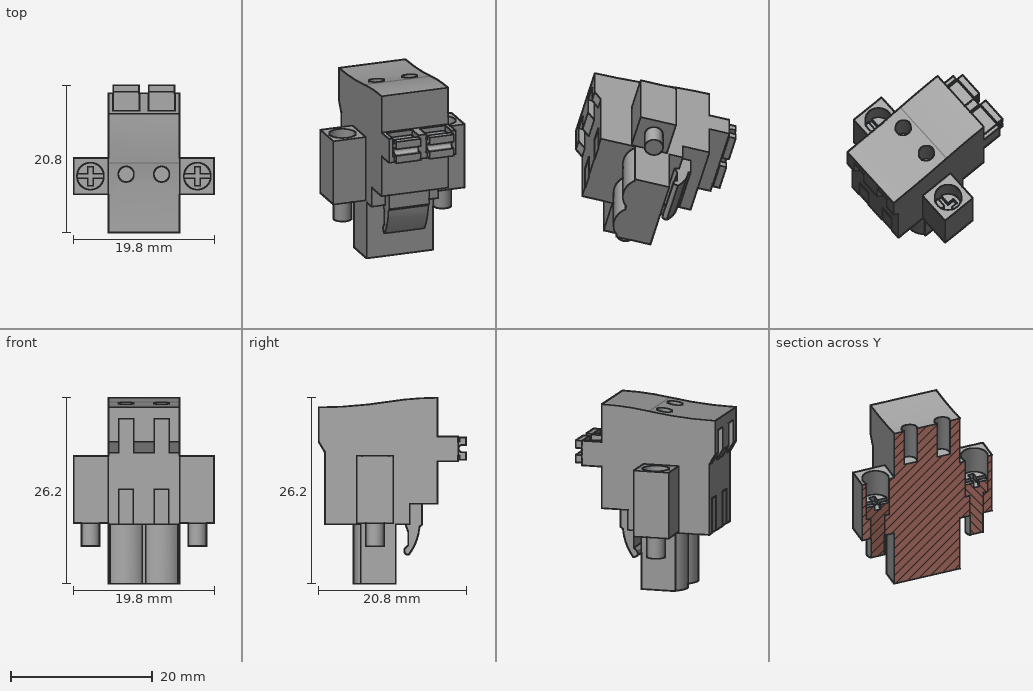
import cadquery as cq
import math


POLE_PITCH = 5.0
POLES = (-POLE_PITCH / 2, POLE_PITCH / 2)
SIDES = (-1, 1)
OVERALL_WIDTH = 19.8
OVERALL_HEIGHT = 26.24

WIDTH_ALLOWANCE = 0.04
BODY_WIDTH = len(POLES) * POLE_PITCH + WIDTH_ALLOWANCE
BROW_Y = -7.95
FRONT_Y = -7.05
BACK_Y = 8.8
LEDGE_Y = 11.7
STEP_Y = 4.9
INFLECTION_Y = 1.88
BODY_BOTTOM_Z = 8.4
STEP_Z = 11.27
LEDGE_BOTTOM_Z = 17.25
LEDGE_TOP_Z = 20.8
BROW_TOP_Z = 24.89
BROW_BOTTOM_Z = 20.02
BROW_CHAMFER_Z = 18.5

TEST_HOLE_DIAMETER = 2.2
TEST_HOLE_DEPTH = 5.0
TEST_HOLE_Y = 0.27
UPPER_SLOT_WIDTH = 2.1
UPPER_SLOT_TOP_Z = 23.28
LOWER_SLOT_WIDTH = 2.02
LOWER_SLOT_TOP_Z = 13.36
LOWER_SLOT_DEPTH = 0.08

PLUG_BACK_Y = 2.93
PLUG_FRONT_Y = -2.04
BARREL_WIDTH = 4.53
BARREL_BULGE = 1.01

LATCH_WIDTH = 6.0
LATCH_BACK_Y = 6.63
LATCH_BACK_BOTTOM_Z = 8.36
LATCH_SPINE_TOP = (6.28, 8.06)
LATCH_SPINE_MIDDLE = (5.69, 5.7)
LATCH_TIP = (4.76, 4.1)
LATCH_NOSE_MIDDLE = (4.2, 4.35)
LATCH_NOSE_TOP = (4.2, 5.0)
LATCH_THROAT_Y = 4.65
LATCH_THROAT_BOTTOM_Z = 5.45
LATCH_THROAT_TOP_Z = 7.35
LATCH_ROOT_Y = 4.27

FLANGE_DEPTH = 5.16
FLANGE_BOTTOM_Z = 8.58
FLANGE_TOP_Z = 18.05
SCREW_X = 7.53
SHAFT_DIAMETER = 2.58
SHAFT_BOTTOM_Z = 5.32
HEAD_DIAMETER = 3.8
HEAD_HEIGHT = 2.0
HEAD_RECESS = 4.0
DRIVE_DEPTH = 0.8
LONG_SLOT_WIDTH = 0.65
CROSS_SLOT_WIDTH = 0.8
CROSS_SLOT_LENGTH = 2.64
HEAD_TOP_Z = FLANGE_TOP_Z - HEAD_RECESS
HEAD_BOTTOM_Z = HEAD_TOP_Z - HEAD_HEIGHT

LEVER_WIDTH = 3.66
LEVER_SIDE_GAP = 0.09
LEVER_FRONT_Y = 9.24
LEVER_TAB_Y = 11.87
LEVER_BACK_Y = 12.84
LEVER_MID_Z = 19.07
LEVER_THICKNESS = 1.98
LEVER_TAB_HEIGHT = 3.18
LEVER_NOTCH_HEIGHT = 1.0
LEVER_NOTCH_Y = 11.77
LEVER_BOTTOM_Z = LEVER_MID_Z - LEVER_THICKNESS / 2


def block(x_mid, width, y_range, z_range):
    """Box centred on x_mid that fills the given Y and Z ranges."""
    depth = y_range[1] - y_range[0]
    height = z_range[1] - z_range[0]
    corner = (x_mid - width / 2, y_range[0], z_range[0])
    return cq.Workplane("XY").box(width, depth, height, centered=False).translate(corner)


def cylinder(x, y, diameter, z_bottom, z_top):
    """Upright cylinder between two heights."""
    base = cq.Workplane("XY", origin=(x, y, z_bottom))
    return base.circle(diameter / 2).extrude(z_top - z_bottom)


def side_sketch(width):
    """YZ workplane placed so that extruding by width is centred on X = 0."""
    return cq.Workplane("YZ", origin=(-width / 2, 0, 0))


def level_arc_sagitta(run, fall):
    """Bow height of an arc that is level at one end and falls over the run."""
    slope = math.atan2(fall, run)
    return math.hypot(run, fall) / 2 * math.tan(slope / 2)


def body():
    """Main block; its top is an S-curve of two arcs, level at both ends."""
    fall = OVERALL_HEIGHT - BROW_TOP_Z
    back_share = (BACK_Y - INFLECTION_Y) / (BACK_Y - BROW_Y)
    inflection_z = OVERALL_HEIGHT - fall * back_share
    back_bow = level_arc_sagitta(BACK_Y - INFLECTION_Y, OVERALL_HEIGHT - inflection_z)
    front_bow = level_arc_sagitta(INFLECTION_Y - BROW_Y, inflection_z - BROW_TOP_Z)
    outline = (
        side_sketch(BODY_WIDTH)
        .moveTo(BACK_Y, OVERALL_HEIGHT)
        .sagittaArc((INFLECTION_Y, inflection_z), -back_bow)
        .sagittaArc((BROW_Y, BROW_TOP_Z), front_bow)
        .lineTo(BROW_Y, BROW_BOTTOM_Z)
        .lineTo(FRONT_Y, BROW_CHAMFER_Z)
        .lineTo(FRONT_Y, BODY_BOTTOM_Z)
        .lineTo(STEP_Y, BODY_BOTTOM_Z)
        .lineTo(STEP_Y, STEP_Z)
        .lineTo(BACK_Y, STEP_Z)
        .lineTo(BACK_Y, LEDGE_BOTTOM_Z)
        .lineTo(LEDGE_Y, LEDGE_BOTTOM_Z)
        .lineTo(LEDGE_Y, LEDGE_TOP_Z)
        .lineTo(BACK_Y, LEDGE_TOP_Z)
        .close()
    )
    return outline.extrude(BODY_WIDTH)


def plug():
    """Plug block with one rounded barrel face per pole."""
    solid = block(0, BODY_WIDTH, (PLUG_FRONT_Y, PLUG_BACK_Y), (0, BODY_BOTTOM_Z))
    for x in POLES:
        barrel = (
            cq.Workplane("XY")
            .moveTo(x - BARREL_WIDTH / 2, PLUG_FRONT_Y)
            .threePointArc((x, PLUG_FRONT_Y - BARREL_BULGE), (x + BARREL_WIDTH / 2, PLUG_FRONT_Y))
            .close()
            .extrude(BODY_BOTTOM_Z)
        )
        solid = solid.union(barrel)
    return solid


def latch():
    """Curved hook that hangs in the step and reaches below the body."""
    outline = (
        side_sketch(LATCH_WIDTH)
        .moveTo(STEP_Y, STEP_Z)
        .lineTo(LATCH_BACK_Y, STEP_Z)
        .lineTo(LATCH_BACK_Y, LATCH_BACK_BOTTOM_Z)
        .lineTo(*LATCH_SPINE_TOP)
        .threePointArc(LATCH_SPINE_MIDDLE, LATCH_TIP)
        .threePointArc(LATCH_NOSE_MIDDLE, LATCH_NOSE_TOP)
        .lineTo(LATCH_THROAT_Y, LATCH_THROAT_BOTTOM_Z)
        .lineTo(LATCH_THROAT_Y, LATCH_THROAT_TOP_Z)
        .lineTo(LATCH_ROOT_Y, BODY_BOTTOM_Z)
        .lineTo(STEP_Y, BODY_BOTTOM_Z)
        .close()
    )
    return outline.extrude(LATCH_WIDTH)


def flange(side):
    """Side block with a stepped bore that fits the screw."""
    width = (OVERALL_WIDTH - BODY_WIDTH) / 2
    x_mid = side * (BODY_WIDTH + width) / 2
    half = FLANGE_DEPTH / 2
    solid = block(x_mid, width, (-half, half), (FLANGE_BOTTOM_Z, FLANGE_TOP_Z))
    head_bore = cylinder(side * SCREW_X, 0, HEAD_DIAMETER, HEAD_BOTTOM_Z, FLANGE_TOP_Z)
    shaft_bore = cylinder(side * SCREW_X, 0, SHAFT_DIAMETER, FLANGE_BOTTOM_Z, HEAD_BOTTOM_Z)
    return solid.cut(head_bore).cut(shaft_bore)


def pole_openings(x):
    """Test hole, two front slots and lever pocket of one pole."""
    hole_bottom = BROW_TOP_Z - TEST_HOLE_DEPTH
    hole = cylinder(x, TEST_HOLE_Y, TEST_HOLE_DIAMETER, hole_bottom, OVERALL_HEIGHT)
    upper_slot = block(x, UPPER_SLOT_WIDTH, (BROW_Y, FRONT_Y), (BROW_CHAMFER_Z, UPPER_SLOT_TOP_Z))
    lower_slot = block(
        x, LOWER_SLOT_WIDTH, (FRONT_Y, FRONT_Y + LOWER_SLOT_DEPTH), (BODY_BOTTOM_Z, LOWER_SLOT_TOP_Z)
    )
    pocket_width = LEVER_WIDTH + 2 * LEVER_SIDE_GAP
    pocket = block(x, pocket_width, (LEVER_FRONT_Y, LEDGE_Y), (LEVER_BOTTOM_Z, LEDGE_TOP_Z))
    return hole.union(upper_slot).union(lower_slot).union(pocket)


def make_housing():
    solid = body().union(plug()).union(latch())
    for side in SIDES:
        solid = solid.union(flange(side))
    for x in POLES:
        solid = solid.cut(pole_openings(x))
    return solid


def make_lever(x):
    """Flat tongue in the pocket with a thick, notched tab at the back."""
    tongue = block(
        x, LEVER_WIDTH, (LEVER_FRONT_Y, LEVER_TAB_Y), (LEVER_BOTTOM_Z, LEVER_BOTTOM_Z + LEVER_THICKNESS)
    )
    half_tab = LEVER_TAB_HEIGHT / 2
    tab = block(
        x, LEVER_WIDTH, (LEVER_TAB_Y, LEVER_BACK_Y), (LEVER_MID_Z - half_tab, LEVER_MID_Z + half_tab)
    )
    half_notch = LEVER_NOTCH_HEIGHT / 2
    notch = (
        side_sketch(LEVER_WIDTH)
        .moveTo(LEVER_BACK_Y, LEVER_MID_Z + half_notch)
        .lineTo(LEVER_NOTCH_Y + half_notch, LEVER_MID_Z + half_notch)
        .threePointArc(
            (LEVER_NOTCH_Y, LEVER_MID_Z), (LEVER_NOTCH_Y + half_notch, LEVER_MID_Z - half_notch)
        )
        .lineTo(LEVER_BACK_Y, LEVER_MID_Z - half_notch)
        .close()
        .extrude(LEVER_WIDTH)
        .translate((x, 0, 0))
    )
    return tongue.union(tab).cut(notch)


def make_screw(x):
    """Screw with a full-width slot and a shorter cross slot in its head."""
    head = cylinder(x, 0, HEAD_DIAMETER, HEAD_BOTTOM_Z, HEAD_TOP_Z)
    shaft = cylinder(x, 0, SHAFT_DIAMETER, SHAFT_BOTTOM_Z, HEAD_BOTTOM_Z)
    drive_z = (HEAD_TOP_Z - DRIVE_DEPTH, HEAD_TOP_Z)
    long_slot = block(x, HEAD_DIAMETER, (-LONG_SLOT_WIDTH / 2, LONG_SLOT_WIDTH / 2), drive_z)
    cross_slot = block(x, CROSS_SLOT_WIDTH, (-CROSS_SLOT_LENGTH / 2, CROSS_SLOT_LENGTH / 2), drive_z)
    return head.union(shaft).cut(long_slot).cut(cross_slot)


housing = make_housing()
levers = [make_lever(x) for x in POLES]
screws = [make_screw(side * SCREW_X) for side in SIDES]

result = cq.Compound.makeCompound(
    [housing.val(), *[lever.val() for lever in levers], *[screw.val() for screw in screws]]
)